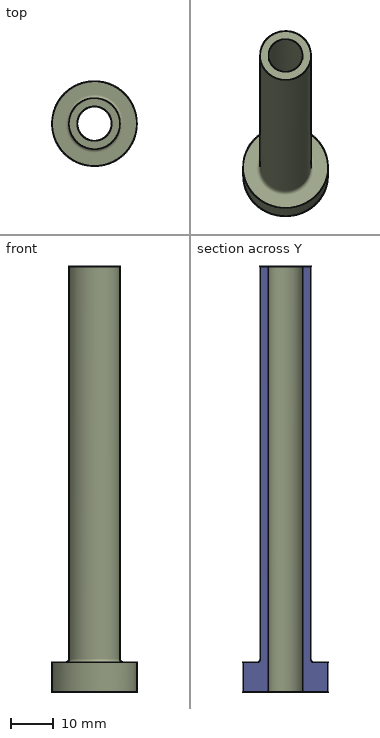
import cadquery as cq

total_length = 100.0
head_diameter = 20.0
head_thickness = 7.0
shank_diameter = 12.0
bore_diameter = 8.0
neck_fillet_radius = 0.8

head_radius = head_diameter / 2
shank_radius = shank_diameter / 2

head = cq.Workplane("XY").circle(head_radius).extrude(head_thickness)

shank = cq.Workplane("XY").circle(shank_radius).extrude(total_length)

neck_fillet = (
    cq.Workplane("XZ")
    .moveTo(0, head_thickness)
    .lineTo(shank_radius + neck_fillet_radius, head_thickness)
    .radiusArc((shank_radius, head_thickness + neck_fillet_radius), neck_fillet_radius)
    .lineTo(0, head_thickness + neck_fillet_radius)
    .close()
    .revolve(360, (0, 0, 0), (0, 1, 0))
)

bore = cq.Workplane("XY").circle(bore_diameter / 2).extrude(total_length)

result = head.union(shank).union(neck_fillet).cut(bore)